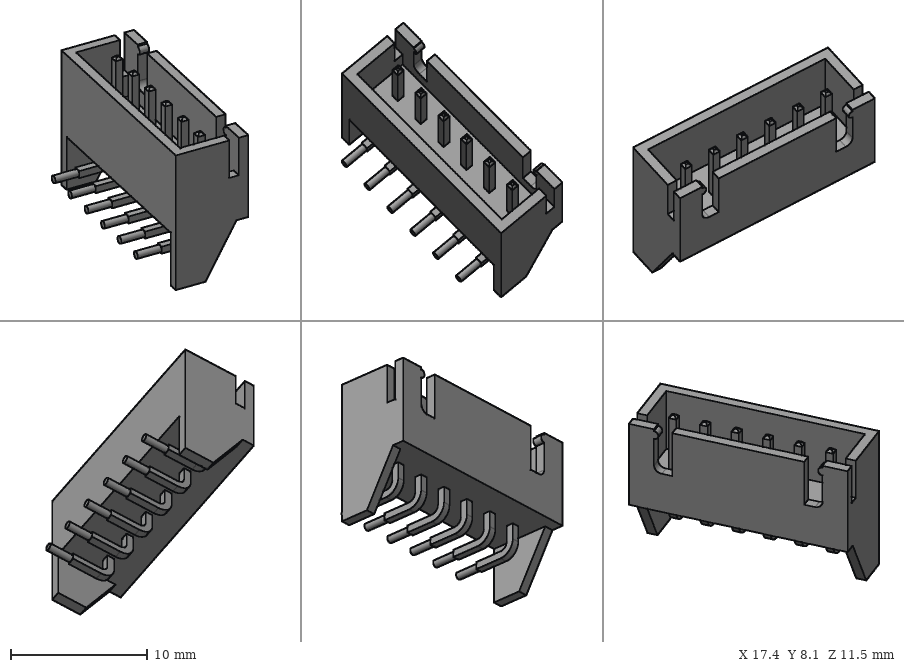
import cadquery as cq


length = 17.4
depth = 6.1
height = 11.5
wall = 0.8
shell_height = 7.0
cavity_depth = 5.0
shell_bottom = height - shell_height
back_inner_face = depth - wall

foot_depth = 2.5
foot_slope_top_y = depth - 1.0

slot_width = 0.8
slot_depth = 3.2
tab_length = 2.0
notch_length = 1.45
notch_depth = 3.7
notch_radius = 0.6
bead_radius = 0.34
bead_drop = 0.5

pin_count = 6
pitch = 2.5
pin_size = 0.6
pin_y = 3.35
pin_tip_drop = 0.2
tip_height = 0.2
tip_size = 0.2
tail_length = 2.0
tail_drop = 9.2
bend_radius = 0.6

overrun = 1.0


def box(x_range, y_range, z_range):
    """Box spanning the given (low, high) range along each axis."""
    size = [high - low for low, high in (x_range, y_range, z_range)]
    corner = (x_range[0], y_range[0], z_range[0])
    return cq.Workplane("XY").box(*size, centered=False).translate(corner)


def make_shell():
    """Side profile across the full length, opened out above and below the floor."""
    side_profile = (
        cq.Workplane("YZ")
        .moveTo(0, 0)
        .lineTo(0, height)
        .lineTo(depth, height)
        .lineTo(depth, shell_bottom)
        .lineTo(foot_slope_top_y, shell_bottom)
        .lineTo(foot_depth, 0)
        .close()
    )
    shell = side_profile.extrude(length / 2, both=True)

    inner_x = length / 2 - wall
    cavity = box((-inner_x, inner_x), (wall, back_inner_face), (height - cavity_depth, height + overrun))
    foot_gap = box((-inner_x, inner_x), (-overrun, depth + overrun), (-overrun, shell_bottom))
    return shell.cut(cavity).cut(foot_gap)


def make_end_slots():
    """Slot through both end walls, just in front of the back wall."""
    return box(
        (-length / 2 - overrun, length / 2 + overrun),
        (back_inner_face - slot_width, back_inner_face),
        (height - slot_depth, height + overrun),
    )


def make_left_notch():
    """Notch through the back wall, with its lower corner rounded on the tab side."""
    tab_edge = tab_length - length / 2
    notch = box(
        (tab_edge, tab_edge + notch_length),
        (back_inner_face, depth + overrun),
        (height - notch_depth, height + overrun),
    )
    return notch.edges("|Y and <X and <Z").fillet(notch_radius)


def make_left_bead():
    """Latch bead along the inner edge of the left tab."""
    return (
        cq.Workplane("XZ", origin=(tab_length - length / 2, depth, height - bead_drop))
        .circle(bead_radius)
        .extrude(wall)
    )


def make_pin():
    """One bent pin centred on X = 0: tapered tip, square bend, round tail."""
    half = pin_size / 2
    front_y = pin_y - half
    rear_y = pin_y + half
    tail_z = height - tail_drop
    lower_z = tail_z - half
    upper_z = tail_z + half
    shoulder_z = height - pin_tip_drop - tip_height
    outer_radius = bend_radius + pin_size

    bent_bar = (
        cq.Workplane("YZ")
        .moveTo(front_y, shoulder_z)
        .lineTo(front_y, upper_z + bend_radius)
        .radiusArc((front_y - bend_radius, upper_z), bend_radius)
        .lineTo(0, upper_z)
        .lineTo(0, lower_z)
        .lineTo(rear_y - outer_radius, lower_z)
        .radiusArc((rear_y, lower_z + outer_radius), -outer_radius)
        .lineTo(rear_y, shoulder_z)
        .close()
        .extrude(half, both=True)
    )
    tip = (
        cq.Workplane("XY", origin=(0, pin_y, shoulder_z))
        .rect(pin_size, pin_size)
        .workplane(offset=tip_height)
        .rect(tip_size, tip_size)
        .loft(ruled=True)
    )
    tail = cq.Workplane("XZ", origin=(0, 0, tail_z)).circle(half).extrude(tail_length)
    return bent_bar.union(tip).union(tail)


left_notch = make_left_notch()
left_bead = make_left_bead()

result = make_shell().cut(make_end_slots())
result = result.cut(left_notch).cut(left_notch.mirror("YZ"))
result = result.union(left_bead).union(left_bead.mirror("YZ"))

pin = make_pin()
for index in range(pin_count):
    pin_x = (index - (pin_count - 1) / 2) * pitch
    result = result.union(pin.translate((pin_x, 0, 0)))